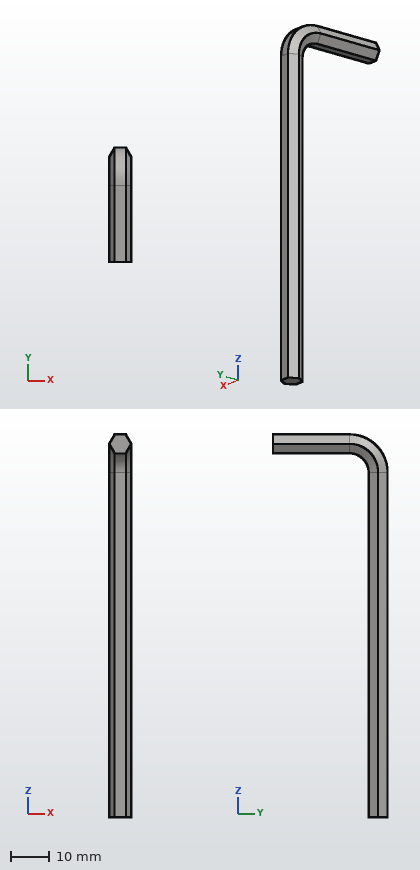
import cadquery as cq
import math

across_flats = 5.0
long_leg_length = 100.0
short_leg_length = 30.0
inner_bend_radius = 5.0

hexagon_sides = 6
half_flats = across_flats / 2
across_corners = across_flats / math.cos(math.pi / hexagon_sides)

bend_radius = inner_bend_radius + half_flats
short_leg_z = long_leg_length - half_flats
bend_start_z = short_leg_z - bend_radius
short_leg_end_y = half_flats - short_leg_length


def bar_centre_line():
    """Straight long leg, quarter-circle bend, then the straight short leg, as (Y, Z)."""
    half_bend_offset = bend_radius * math.sin(math.pi / 4)
    bend_middle = (half_bend_offset - bend_radius, bend_start_z + half_bend_offset)
    return (
        cq.Workplane("YZ")
        .lineTo(0, bend_start_z)
        .threePointArc(bend_middle, (-bend_radius, short_leg_z))
        .lineTo(short_leg_end_y, short_leg_z)
    )


def hexagon_section():
    """Corners lie on X, so flats face the inside and outside of the bend."""
    return cq.Workplane("XY").polygon(hexagon_sides, across_corners)


result = hexagon_section().sweep(bar_centre_line())